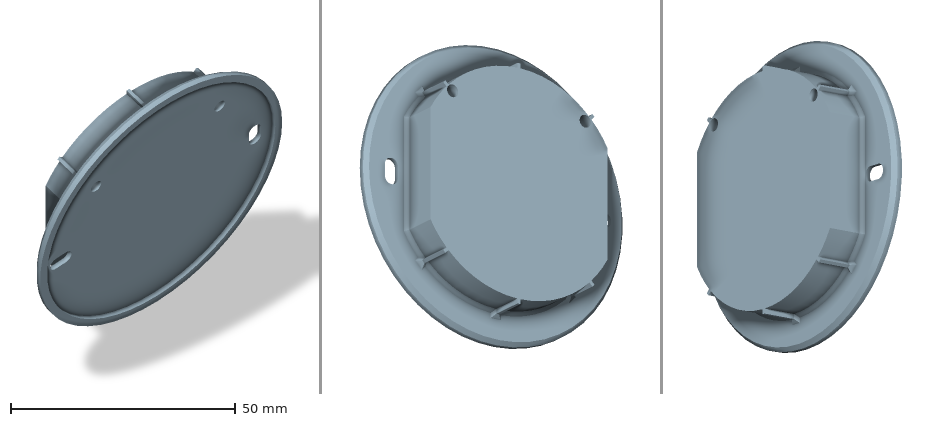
import cadquery as cq

total_depth = 11.59
plate_diameter = 70.09
plate_thickness = 2.35
plate_bevel_depth = 1.1
plate_bevel_width = 0.9

plug_radius = 27.3
plug_half_width = 23.85
flare_size = 0.9

web_thickness = 1.2
rim_width = 2.0

rib_positions = 8
side_flat_angles = (90, 270)
rib_width = 0.8
rib_outer_radius = 28.45
rib_root_depth = 2.0
rib_inner_radius = plug_radius - rib_root_depth

screw_hole_diameter = 3.0
screw_hole_y = 17.9
screw_hole_z = 18.3

slot_offset = 28.1
slot_length = 6.2
slot_width = 3.5
along_y = 0
along_z = 90

plug_front = 0.0
plate_front = total_depth - plate_thickness
flare_front = plate_front - flare_size


def yz_plane(x):
    """Sketch plane facing +X, with local axes along Y and Z."""
    return cq.Workplane("YZ", origin=(x, 0, 0))


def make_plate():
    """Disc with a bevelled front rim, revolved around X."""
    radius = plate_diameter / 2
    profile = [
        (plate_front, 0),
        (plate_front, radius - plate_bevel_width),
        (plate_front + plate_bevel_depth, radius),
        (total_depth, radius),
        (total_depth, 0),
    ]
    return cq.Workplane("XY").polyline(profile).close().revolve(360, (0, 0, 0), (1, 0, 0))


def make_back_recess():
    """Shallow round recess in the back of the plate, inside the rim."""
    return (
        yz_plane(plate_front + web_thickness)
        .circle(plate_diameter / 2 - rim_width)
        .extrude(plate_thickness - web_thickness)
    )


def plug_outline(x, growth=0.0):
    """Circle cut by two side flats, grown outward by the given amount."""
    radius = plug_radius + growth
    half_width = plug_half_width + growth
    corner_z = (radius**2 - half_width**2) ** 0.5
    return (
        yz_plane(x)
        .moveTo(half_width, -corner_z)
        .lineTo(half_width, corner_z)
        .threePointArc((0, radius), (-half_width, corner_z))
        .lineTo(-half_width, -corner_z)
        .threePointArc((0, -radius), (half_width, -corner_z))
        .close()
    )


def make_plug():
    """Straight plug body with a flared foot on the plate."""
    body = plug_outline(plug_front).extrude(plate_front)
    foot_top = plug_outline(flare_front).val()
    foot_base = plug_outline(plate_front, flare_size).val()
    foot = cq.Solid.makeLoft([foot_top, foot_base], True)
    return body.union(cq.Workplane(foot))


def rib_outline(x, growth=0.0):
    """Rectangle spanning the rib radially, grown outward and sideways."""
    height = rib_outer_radius + growth - rib_inner_radius
    center_z = rib_inner_radius + height / 2
    return yz_plane(x).center(0, center_z).rect(rib_width + 2 * growth, height)


def make_rib(angle):
    """Crush rib along the plug with a flared foot, turned around X from +Z."""
    body = rib_outline(plug_front).extrude(plate_front)
    foot_top = rib_outline(flare_front).val()
    foot_base = rib_outline(plate_front, flare_size).val()
    foot = cq.Solid.makeLoft([foot_top, foot_base], True)
    rib = body.union(cq.Workplane(foot))
    return rib.rotate((0, 0, 0), (1, 0, 0), angle)


def make_screw_holes():
    """Two round holes through the full depth."""
    centers = [(-screw_hole_y, screw_hole_z), (screw_hole_y, screw_hole_z)]
    return yz_plane(plug_front).pushPoints(centers).circle(screw_hole_diameter / 2).extrude(total_depth)


def make_slot(center_y, direction):
    """Mounting slot through the plate, centred on the Y axis."""
    return (
        yz_plane(plate_front)
        .center(center_y, 0)
        .slot2D(slot_length, slot_width, direction)
        .extrude(plate_thickness)
    )


result = make_plate().union(make_plug())

for index in range(rib_positions):
    rib_angle = index * 360 / rib_positions
    if rib_angle not in side_flat_angles:
        result = result.union(make_rib(rib_angle))

result = result.cut(make_back_recess())
result = result.cut(make_screw_holes())
result = result.cut(make_slot(slot_offset, along_z))
result = result.cut(make_slot(-slot_offset, along_y))